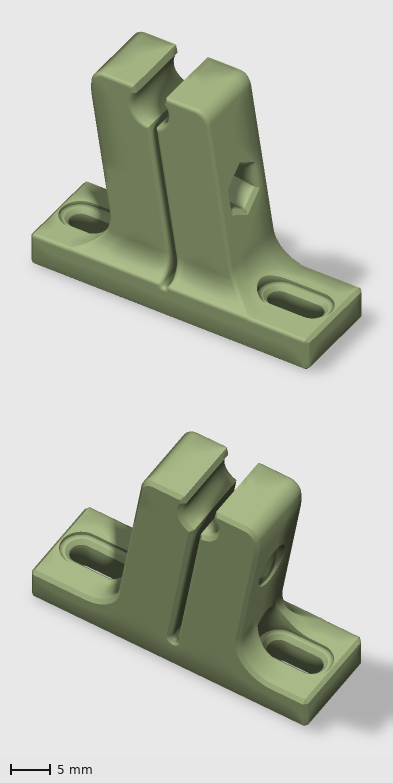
import cadquery as cq
import math

base_length = 42.0
base_width = 13.5
base_height = 5.0
edge_break = 0.5

lean_angle = 8.75
column_half_width = 9.0
column_depth = 10.75
column_top = 32.95
top_fillet = 2.0
side_fillet = 5.0
front_fillet = 3.0

bore_height = 30.05
bore_radius = 2.75
mouth_neck_half_width = 2.15
mouth_top_half_width = 2.4
slit_width = 1.0

countersink_taper = 45.0

mount_spacing = 30.0
mount_travel = 5.0
mount_hole_radius = 1.55
mount_countersink_radius = 2.1
mount_head_radius = 2.85
mount_recess_depth = 0.5
head_clearance_height = 8.0

screw_distance = 20.0
screw_slope = 8.75
screw_hole_radius = 1.55
screw_countersink_radius = 2.1
screw_head_radius = 2.85
screw_head_depth = 1.2
screw_rim_chamfer = 0.25
nut_sides = 6
nut_across_flats = 5.7
nut_depth = 5.5
nut_rim_chamfer = 0.5

back_y = base_width / 2
front_y = -base_width / 2
column_front_y = back_y - column_depth
column_mid_y = back_y - column_depth / 2
lean = math.radians(lean_angle)
slope = math.radians(screw_slope)
bore_x = -bore_height * math.tan(lean)
bore_distance = bore_height / math.cos(lean)
sweep_top_z = base_height + front_fillet

clearance = 1.0
tolerance = 0.01


def leaning_frame():
    """Plane facing -Y on the back face, whose local Y runs up the leaning column axis."""
    across_column = (math.cos(lean), 0, math.sin(lean))
    return cq.Workplane(cq.Plane(origin=(0, back_y, 0), xDir=across_column, normal=(0, -1, 0)))


def bore_frame():
    """Plane facing -Y on the back face, centred on the rod bore."""
    return cq.Workplane("XZ", origin=(bore_x, back_y, bore_height))


def full_width_box(length, height):
    return cq.Workplane("XY").box(length, base_width, height, centered=(True, True, False))


def make_column():
    """Leaning round-topped column, cut flat on top and rounded at the two top corners."""
    column = (
        leaning_frame()
        .moveTo(-column_half_width, 0)
        .lineTo(-column_half_width, bore_distance)
        .threePointArc((0, bore_distance + column_half_width), (column_half_width, bore_distance))
        .lineTo(column_half_width, 0)
        .close()
        .extrude(base_width)
    )
    column = column.intersect(full_width_box(2 * base_length, column_top))
    return column.edges("|Y and >Z").fillet(top_fillet)


def join_to_base(column):
    """Set the column on the plate and fillet the two corners where its flanks meet the plate."""
    body = full_width_box(base_length, base_height).union(column)
    foot_x = -base_height * math.tan(lean)
    foot_reach = column_half_width / math.cos(lean) + clearance
    foot_box = cq.selectors.BoxSelector(
        (foot_x - foot_reach, front_y - clearance, base_height - clearance),
        (foot_x + foot_reach, back_y + clearance, base_height + clearance),
    )
    return body.edges("|Y").edges(foot_box).fillet(side_fillet)


def cut_bore_and_slit(body):
    """Cut the rod bore, its flared mouth above and the round-ended slit below."""
    slit_radius = slit_width / 2
    slit_end = base_height / math.cos(lean)
    slit = (
        leaning_frame()
        .moveTo(-slit_radius, bore_distance)
        .lineTo(-slit_radius, slit_end)
        .threePointArc((0, slit_end - slit_radius), (slit_radius, slit_end))
        .lineTo(slit_radius, bore_distance)
        .close()
        .extrude(base_width)
    )
    bore = bore_frame().circle(bore_radius).extrude(base_width)
    neck_rise = math.sqrt(bore_radius**2 - mouth_neck_half_width**2)
    mouth = (
        bore_frame()
        .moveTo(0, 0)
        .lineTo(-mouth_neck_half_width, neck_rise)
        .lineTo(-mouth_top_half_width, column_top - bore_height)
        .lineTo(mouth_top_half_width, column_top - bore_height)
        .lineTo(mouth_neck_half_width, neck_rise)
        .close()
        .extrude(base_width)
    )
    return body.cut(slit).cut(bore).cut(mouth)


def cut_front(body):
    """Set the column front back from the plate front, with a concave sweep between them."""
    sweep_y = column_front_y - front_fillet
    diagonal = front_fillet * math.sqrt(0.5)
    space = (
        cq.Workplane("YZ", origin=(-base_length, 0, 0))
        .moveTo(column_front_y, column_top + clearance)
        .lineTo(column_front_y, sweep_top_z)
        .threePointArc((sweep_y + diagonal, sweep_top_z - diagonal), (sweep_y, base_height))
        .lineTo(sweep_y, column_top + clearance)
        .close()
        .extrude(2 * base_length)
    )
    return body.cut(space)


def lies_on_plate_end(box):
    return box.xmax < tolerance - base_length / 2 or box.xmin > base_length / 2 - tolerance


def is_rounded_edge(edge):
    """Outlines of the column front and its sweep, the slit mouth and the front edge of the plate top."""
    box = edge.BoundingBox()
    in_front = box.ymax < column_front_y + tolerance
    on_bottom = box.zmax < tolerance
    on_sweep_seam = box.zmin > sweep_top_z - tolerance and box.zmax < sweep_top_z + tolerance
    return in_front and not (on_bottom or on_sweep_seam or lies_on_plate_end(box))


def is_chamfered_edge(edge):
    """Outlines of the back, the bottom and the two plate ends."""
    box = edge.BoundingBox()
    on_back = box.ymin > back_y - tolerance
    on_bottom = box.zmax < tolerance
    return on_back or on_bottom or lies_on_plate_end(box)


def break_edges(body):
    """Round the upper front edges, then chamfer the back, bottom and end edges."""
    rounded_edges = [edge for edge in body.edges().vals() if is_rounded_edge(edge)]
    body = body.newObject(rounded_edges).fillet(edge_break)
    chamfered_edges = [edge for edge in body.edges().vals() if is_chamfered_edge(edge)]
    return body.newObject(chamfered_edges).chamfer(edge_break)


def mount_slot(center_x, radius, start_z, rise, taper=0):
    """Slot-shaped prism along X, whose sides may taper inward."""
    return (
        cq.Workplane("XY", origin=(center_x, 0, start_z))
        .slot2D(mount_travel + 2 * radius, 2 * radius)
        .extrude(rise, taper=taper)
    )


def cut_mount(body, side):
    """Cut one mounting slot, with its countersink, head recess and room for the head above it."""
    center_x = side * mount_spacing / 2
    recess_floor = base_height - mount_recess_depth
    countersink_depth = mount_countersink_radius - mount_hole_radius
    hole = mount_slot(center_x, mount_hole_radius, 0, base_height)
    countersink = mount_slot(
        center_x, mount_countersink_radius, recess_floor, -countersink_depth, countersink_taper
    )
    head = mount_slot(center_x, mount_head_radius, recess_floor, head_clearance_height - recess_floor)
    dome_x = center_x - side * mount_travel / 2
    dome = cq.Workplane("XY", origin=(dome_x, 0, head_clearance_height)).sphere(mount_head_radius)

    outside_flank = (
        leaning_frame()
        .center(side * (column_half_width + side_fillet), 0)
        .rect(2 * side_fillet, 2 * column_top)
        .extrude(base_width)
    )
    fillet_notch = mount_slot(center_x, mount_head_radius, base_height, 2 * side_fillet)
    fillet_notch = fillet_notch.intersect(outside_flank)
    return body.cut(hole).cut(countersink).cut(head).cut(dome).cut(fillet_notch)


screw_x = -screw_distance * math.sin(lean)
screw_z = screw_distance * math.cos(lean)
screw_reach = column_half_width / math.cos(lean + slope)


def screw_point(distance):
    return (screw_x + distance * math.cos(slope), column_mid_y, screw_z - distance * math.sin(slope))


def screw_frame(distance):
    """Plane across the screw axis, facing down the screw, with its local X pointing upward."""
    upward = (math.sin(slope), 0, math.cos(slope))
    down_screw = (math.cos(slope), 0, -math.sin(slope))
    return cq.Workplane(cq.Plane(origin=screw_point(distance), xDir=upward, normal=down_screw))


def chamfer_screw_pocket(body, side, size):
    """Chamfer the rim of the screw pocket that opens in the left (-1) or right (+1) flank."""

    def is_on_flank(edge):
        offsets = [p.x * math.cos(lean) + p.z * math.sin(lean) for p in edge.positions([0, 0.5, 1])]
        return all(abs(offset - side * column_half_width) < tolerance for offset in offsets)

    rim_center = cq.Vector(*screw_point(side * screw_reach))
    box_corner = cq.Vector(1, 1, 1) * (nut_across_flats - clearance)
    near_rim = cq.selectors.BoxSelector(
        (rim_center - box_corner).toTuple(),
        (rim_center + box_corner).toTuple(),
        boundingbox=True,
    )
    rim = [edge for edge in body.edges(near_rim).vals() if is_on_flank(edge)]
    return body.newObject(rim).chamfer(size)


def cut_screw(body):
    """Cut the clamping screw hole, its countersunk head pocket and the nut pocket."""
    overshoot = 2 * column_half_width
    head_floor = screw_head_depth - screw_reach
    hole = screw_frame(-overshoot).circle(screw_hole_radius).extrude(2 * overshoot)
    countersink = (
        screw_frame(head_floor)
        .circle(screw_countersink_radius)
        .extrude(screw_countersink_radius - screw_hole_radius, taper=countersink_taper)
    )
    head = screw_frame(head_floor).circle(screw_head_radius).extrude(-overshoot)
    nut_across_corners = nut_across_flats / math.cos(math.pi / nut_sides)
    nut = screw_frame(screw_reach - nut_depth).polygon(nut_sides, nut_across_corners).extrude(overshoot)

    body = body.cut(hole).cut(countersink)
    body = chamfer_screw_pocket(body.cut(head), -1, screw_rim_chamfer)
    return chamfer_screw_pocket(body.cut(nut), 1, nut_rim_chamfer)


body = join_to_base(make_column())
body = cut_bore_and_slit(body)
body = cut_front(body)
body = break_edges(body)
for side in (-1, 1):
    body = cut_mount(body, side)
result = cut_screw(body)